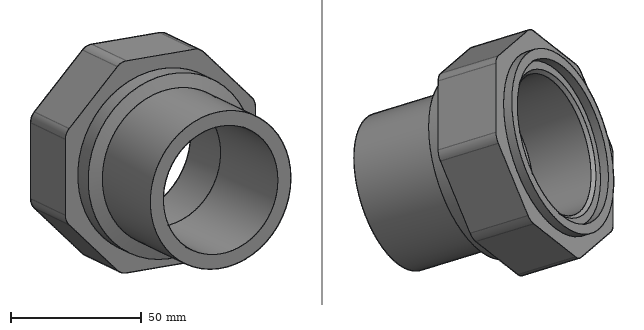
import cadquery as cq
import math

total_length = 75.0
nut_start = 3.7
nut_end = 29.9
collar_end = 37.65
shoulder_end = 39.0

nut_sides = 8
nut_across_flats = 85
nut_corner_radius = 5.8

collar_radius = 37.0
pipe_radius = 31.45

recess_radius = 33.0
recess_depth = 3.6
socket_mouth_radius = 29.7
socket_radius = 28.3
socket_end = 30.8
socket_seat_length = 1.3
bore_radius = 25.6
mouth_chamfer_end = recess_depth + socket_mouth_radius - socket_radius
socket_seat_end = socket_end + socket_seat_length


def revolve_about_x(profile):
    """Revolve a closed (x, radius) profile about the X axis."""
    return cq.Workplane("XY").polyline(profile).close().revolve(360, (0, 0, 0), (1, 0, 0))


def make_nut():
    """Octagon with flats facing Y and Z and rounded corners."""
    across_corners = nut_across_flats / math.cos(math.pi / nut_sides)
    return (
        cq.Workplane("YZ", origin=(nut_start, 0, 0))
        .transformed(rotate=(0, 0, 180 / nut_sides))
        .polygon(nut_sides, across_corners)
        .extrude(nut_end - nut_start)
        .edges("|X")
        .fillet(nut_corner_radius)
    )


def make_sleeve():
    """Round collar that tapers down to the plain pipe end."""
    return revolve_about_x([
        (0, 0),
        (0, collar_radius),
        (collar_end, collar_radius),
        (shoulder_end, pipe_radius),
        (total_length, pipe_radius),
        (total_length, 0),
    ])


def make_bore():
    """Recess, chamfered socket with a conical seat, and through bore."""
    return revolve_about_x([
        (0, 0),
        (0, recess_radius),
        (recess_depth, recess_radius),
        (recess_depth, socket_mouth_radius),
        (mouth_chamfer_end, socket_radius),
        (socket_end, socket_radius),
        (socket_seat_end, bore_radius),
        (total_length, bore_radius),
        (total_length, 0),
    ])


result = make_sleeve().union(make_nut()).cut(make_bore())